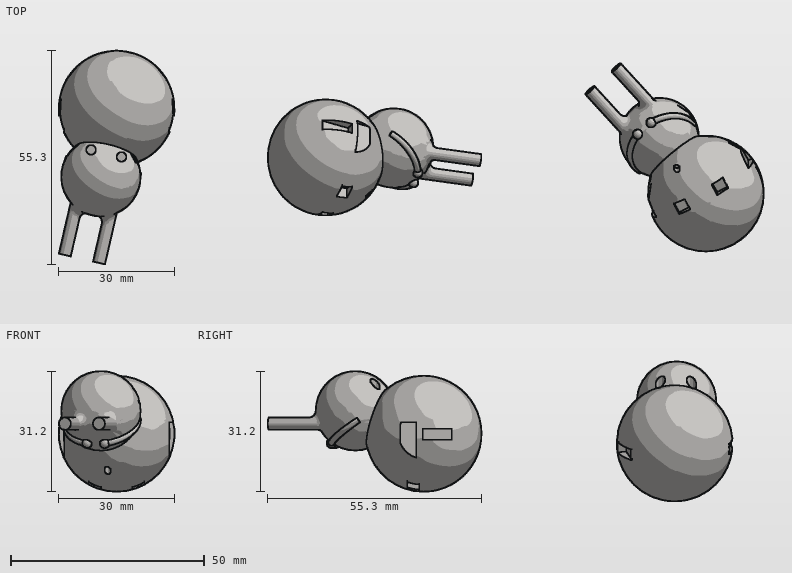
import cadquery as cq
import math

body_diameter = 30.0
body_radius = body_diameter / 2
head_radius = 10.3
head_forward = 18.05
head_height = 5.9
head_turn = -13

tusk_diameter = 3.2
tusk_offset = 4.55
tusk_height = 2.6
tusk_reach = 39.9
tusk_flare = 1.95

socket_diameter = 2.5
socket_offset = 4.05
socket_forward = 11.9
socket_floor = 9.4

cord_diameter = 1.65
cord_radius = 9.3
cord_advance = 0.55
cord_drop = 3.55
cord_tilt = 35
cord_end_angle = 100
bead_radius = 1.25
bead_offset = 2.3

side_limit = body_radius + 0.55
shoulder_recess = ((13.55, side_limit), (-6.0, -1.8), (-8.3, 3.0))
flank_recess = ((12.7, side_limit), (-0.15, 7.35), (-1.55, 1.3))
foot_recess = ((4.0, 7.2), (-4.15, -1.15), (-side_limit, -11.05))

belly_hole_diameter = 1.6
belly_hole_x = -2.3
belly_hole_forward = 11.3
belly_hole_top = -5.5


def cylinder_along_z(diameter, x, forward, z_low, z_high):
    return cq.Workplane("XY", origin=(x, -forward, z_low)).circle(diameter / 2).extrude(z_high - z_low)


def recess_block(limits):
    low = [pair[0] for pair in limits]
    size = [pair[1] - pair[0] for pair in limits]
    return cq.Workplane("XY", origin=tuple(low)).box(*size, centered=False)


def make_head_with_tusks():
    """Head ball facing -Y, tusks joined to it by a rounded flare."""
    head = cq.Workplane("XY", origin=(0, -head_forward, head_height)).sphere(head_radius)
    tusk_ends = cq.Workplane("XZ", origin=(0, -tusk_reach, tusk_height))
    tusk_length = tusk_reach - head_forward
    tusks = (
        tusk_ends.pushPoints([(-tusk_offset, 0), (tusk_offset, 0)])
        .circle(tusk_diameter / 2)
        .extrude(-tusk_length)
    )
    joined = head.union(tusks)
    root_zone = cq.selectors.BoxSelector(
        (-head_radius, -head_forward - head_radius, tusk_height - tusk_diameter),
        (head_radius, -head_forward - head_radius / 2, tusk_height + tusk_diameter),
    )
    return joined.edges(root_zone).fillet(tusk_flare)


def make_cord():
    """Two mirrored cord arcs, each from the side of the head to a bead at the front."""
    tilt = math.radians(cord_tilt)
    ahead = cq.Vector(0, -math.cos(tilt), -math.sin(tilt))
    normal = cq.Vector(0, -math.sin(tilt), math.cos(tilt))
    centre = cq.Vector(0, -head_forward, head_height) + ahead * cord_advance - normal * cord_drop
    cord_plane = cq.Plane(origin=centre.toTuple(), xDir=ahead.toTuple(), normal=normal.toTuple())
    bead_angle = math.degrees(math.asin(bead_offset / cord_radius))
    pieces = cq.Workplane("XY")
    for side in (-1, 1):
        start = cq.Workplane(cord_plane).transformed(rotate=(0, 0, side * bead_angle))
        arc = (
            start.transformed(rotate=(90, 0, 0))
            .center(cord_radius, 0)
            .circle(cord_diameter / 2)
            .revolve(cord_end_angle - bead_angle, (-cord_radius, 0), (-cord_radius, side))
        )
        bead = start.center(cord_radius, 0).sphere(bead_radius)
        pieces = pieces.union(arc).union(bead)
    return pieces


def turned(shape):
    return shape.rotate((0, 0, 0), (0, 0, 1), head_turn)


figure = cq.Workplane("XY").sphere(body_radius)
figure = figure.union(turned(make_head_with_tusks())).union(turned(make_cord()))

for socket_x in (-socket_offset, socket_offset):
    socket = cylinder_along_z(
        socket_diameter, socket_x, socket_forward, socket_floor, head_height + head_radius
    )
    figure = figure.cut(turned(socket))

for recess in (shoulder_recess, flank_recess, foot_recess):
    block = recess_block(recess)
    figure = figure.cut(block).cut(block.mirror("YZ"))

belly_hole = cylinder_along_z(
    belly_hole_diameter, belly_hole_x, belly_hole_forward, -side_limit, belly_hole_top
)
result = figure.cut(belly_hole)